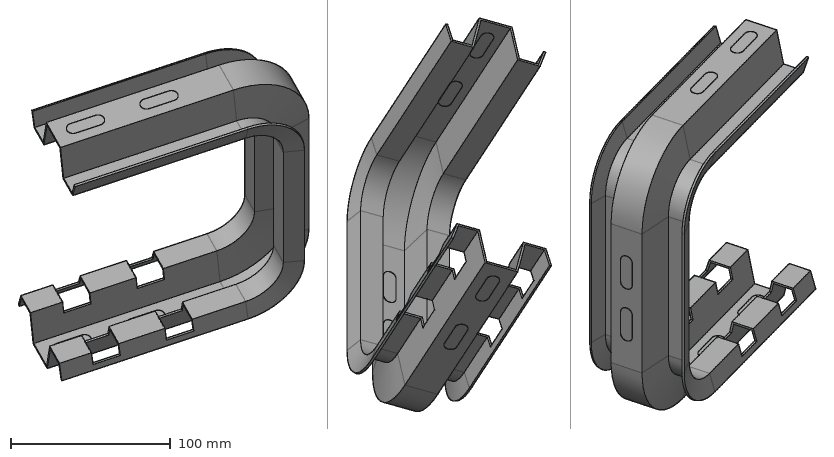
import cadquery as cq
import math

pad_proud = 0.2
height = 210.5 - 2 * pad_proud
lower_reach = 178.6 - pad_proud
arm_offset = 9.0
upper_reach = lower_reach - arm_offset
bend_radius = 51.5

sheet = 1.5
width = 68.2
section_depth = 25.9
web_half = 11.2
wall_lean = math.radians(11.5)
lip_lean = math.radians(16.5)
lip_tip_depth = 13.0

pad_length = 25.2
pad_width = 8.5
arm_pad_pitch = 50.0
arm_pad_margin = 9.3
back_pad_pitch = 40.0

notch_length = 18.5
notch_depth = 8.6
notch_pitch = arm_pad_pitch
notch_margin = 21.9


def section_outline():
    """Closed outline of the sheet as (x, depth) points, depth running from web to flange."""
    wall_miter = sheet * math.tan((math.pi / 2 - wall_lean) / 2)
    lip_miter = sheet * math.tan((math.pi / 2 - lip_lean) / 2)

    flange_depth = section_depth - sheet
    wall_foot = web_half + flange_depth * math.tan(wall_lean)
    lip_tip = width / 2
    lip_foot = lip_tip - (section_depth - lip_tip_depth) * math.tan(lip_lean)

    outer_side = [
        (web_half, 0),
        (wall_foot, flange_depth),
        (lip_foot - lip_miter, flange_depth),
        (lip_tip - sheet * math.cos(lip_lean), lip_tip_depth - sheet * math.sin(lip_lean)),
    ]
    inner_side = [
        (lip_tip, lip_tip_depth),
        (lip_foot, section_depth),
        (wall_foot - wall_miter, section_depth),
        (web_half - wall_miter, sheet),
    ]
    half = outer_side + inner_side
    return half + [(-x, depth) for x, depth in reversed(half)]


def bent_channel():
    """Hat section swept along the upper arm, the back and the lower arm."""
    half_height = height / 2
    bend_mid = bend_radius * (1 - math.sqrt(0.5))
    path = (
        cq.Workplane("YZ")
        .moveTo(-upper_reach, half_height)
        .lineTo(-bend_radius, half_height)
        .threePointArc((-bend_mid, half_height - bend_mid), (0, half_height - bend_radius))
        .lineTo(0, bend_radius - half_height)
        .threePointArc((-bend_mid, bend_mid - half_height), (-bend_radius, -half_height))
        .lineTo(-lower_reach, -half_height)
    )
    points = [(x, half_height - depth) for x, depth in section_outline()]
    section = cq.Workplane("XZ", origin=(0, -upper_reach, 0)).polyline(points).close()
    return section.sweep(path)


def arm_pads(reach, web_middle):
    """Two pads through the web of an arm that ends at Y = -reach."""
    last = -reach + arm_pad_margin + pad_length / 2
    return (
        cq.Workplane("XY", origin=(0, 0, web_middle))
        .pushPoints([(0, last), (0, last + arm_pad_pitch)])
        .slot2D(pad_length, pad_width, 90)
        .extrude(sheet / 2 + pad_proud, both=True)
    )


def back_pads():
    """Two pads through the web of the back, symmetric about mid height."""
    return (
        cq.Workplane("XZ", origin=(0, -sheet / 2, 0))
        .pushPoints([(0, -back_pad_pitch / 2), (0, back_pad_pitch / 2)])
        .slot2D(pad_length, pad_width, 90)
        .extrude(sheet / 2 + pad_proud, both=True)
    )


def lower_arm_notches():
    """Two full-width notches cut down from the flanges of the lower arm."""
    flange_level = section_depth - height / 2
    last = -lower_reach + notch_margin + notch_length / 2
    return (
        cq.Workplane("XY", origin=(0, 0, flange_level))
        .pushPoints([(0, last), (0, last + notch_pitch)])
        .rect(width, notch_length)
        .extrude(-notch_depth)
    )


arm_web_middle = (height - sheet) / 2
result = (
    bent_channel()
    .cut(lower_arm_notches())
    .union(arm_pads(upper_reach, arm_web_middle))
    .union(arm_pads(lower_reach, -arm_web_middle))
    .union(back_pads())
)